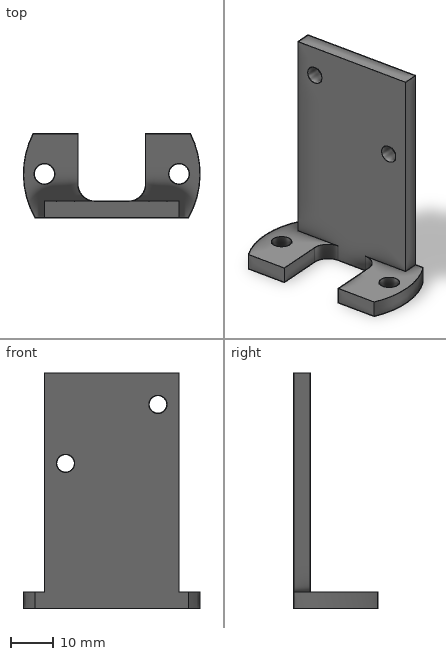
import cadquery as cq

height = 56
base_diameter = 42
base_depth = 20.0
front_y = -10.4
back_y = front_y + base_depth
thickness = 4.0

plate_width = 32.0
plate_hole_diameter = 4.2
plate_hole_centres = [(11.0, 48.5), (-11.0, 34.5)]

base_hole_diameter = 4.8
base_hole_spacing = 32.0
slot_width = 16.0
slot_corner_radius = 4.0
slot_front_y = front_y + thickness


def box_between(width, y_start, y_end, box_height):
    """Box centred on X, standing on Z = 0, between two Y positions."""
    return (
        cq.Workplane("XY")
        .box(width, y_end - y_start, box_height, centered=(True, False, False))
        .translate((0, y_start, 0))
    )


def make_base():
    """Disc with flat front and back, two mounting holes and an open rear slot."""
    disc = cq.Workplane("XY").circle(base_diameter / 2).extrude(thickness)
    base = disc.intersect(box_between(base_diameter, front_y, back_y, thickness))
    slot = box_between(slot_width, slot_front_y, back_y, thickness)
    slot = slot.edges("|Z and <Y").fillet(slot_corner_radius)
    holes = (
        cq.Workplane("XY")
        .rarray(base_hole_spacing, 0.55, 2, 1)
        .circle(base_hole_diameter / 2)
        .extrude(thickness)
    )
    return base.cut(slot).cut(holes)


def make_plate():
    """Upright plate, flush with the front of the base."""
    plate = box_between(plate_width, front_y, front_y + thickness, height)
    holes = (
        cq.Workplane("XZ", origin=(0, front_y, 0))
        .pushPoints(plate_hole_centres)
        .circle(plate_hole_diameter / 2)
        .extrude(-thickness)
    )
    return plate.cut(holes)


result = make_base().union(make_plate())